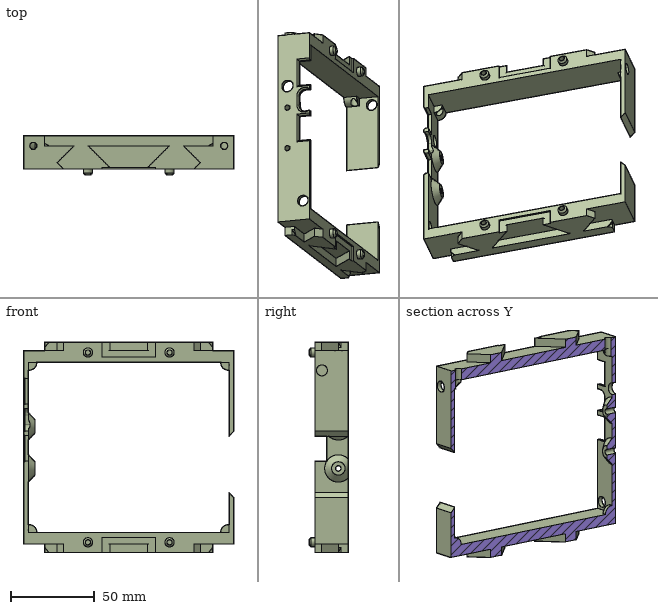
import cadquery as cq
side = 126.0
half = side / 2
depth = 20.0
wall = 2.9
rail = 7.0
pad_height = 5.0
rail_outer = half - pad_height
rail_inner = rail_outer - rail
wall_inner = half - wall

pad_half = 50.4
strip_depth = 6.0
recess_y = depth - strip_depth
recess_front_half = 11.3
panel_half = 16.0
panel_depth = 1.0
panel_height = 9.0
island_half = 32.8
island_barb = 10.1
chip_x = 2.6
chip_y = 1.5
chip_z = 3.2

gap_top = 6.7
gap_bottom = -27.0
gap_bevel = 3.2

pin_x = 24.5
pin_z = 56.8
pin_diameter = 5.5
pin_length = 3.5
pin_chamfer = 1.2
pin_bore = 3.0

boss_diameter = 9.5
boss_offset = 0.4
boss_length = 8.2
screw_x = 57.2
screw_diameter = 4.2

cone_z = 12.6
hole_y = recess_y
cone_base_radius = 8.2
cone_tip_radius = 4.0
cone_height = 4.0
cone_bore = 3.2
large_hole_diameter = 7.0
large_hole_z = 26.1
corner_hole_diameter = 6.5
corner_hole_y = 4.2
corner_hole_z = 46.1

cutout_z = 16.5
cutout_pitch = 17.1
cutout_height = 15.2
cutout_depth = 6.9
cutout_bevel = 1.0
slot_radius = 3.8
slot_half_height = 6.7

overlap = 1.3


def box(x0, x1, y0, y1, z0, z1):
    return cq.Workplane("XY").box(x1 - x0, y1 - y0, z1 - z0, centered=False).translate((x0, y0, z0))


def cylinder(diameter, start, direction, length):
    solid = cq.Solid.makeCylinder(diameter / 2, length, cq.Vector(*start), cq.Vector(*direction))
    return cq.Workplane(solid)


def both_sides(body):
    return body.union(body.mirror("YZ"))


def outline_prism(points, z0, z1):
    return cq.Workplane("XY").polyline(points).close().extrude(z1 - z0).translate((0, 0, z0))


def frame():
    outer = box(-half, half, 0, depth, -rail_outer, rail_outer)
    opening = box(-wall_inner, wall_inner, -overlap, depth + overlap, -rail_inner, rail_inner)
    gap = (
        cq.Workplane("XZ")
        .polyline([
            (wall_inner, gap_top),
            (half, gap_top + gap_bevel),
            (half, gap_bottom - gap_bevel),
            (wall_inner, gap_bottom),
        ])
        .close()
        .extrude(-depth)
    )
    return outer.cut(opening).cut(gap)


def strip_chip():
    """Wedge at the left strip end: a corner prism with a sloping floor."""
    corner = outline_prism(
        [
            (-pad_half, recess_y),
            (-pad_half + chip_x, recess_y),
            (-pad_half, recess_y + chip_y),
        ],
        half - chip_z,
        half,
    )
    slope = (
        cq.Workplane("XZ")
        .polyline([
            (-pad_half, half),
            (-pad_half + chip_x, half),
            (-pad_half, half - chip_z),
        ])
        .close()
        .extrude(-depth)
    )
    return corner.intersect(slope)


def top_pad():
    strip = box(-pad_half, pad_half, recess_y, depth, rail_outer, half)
    barb_tip = island_half + island_barb
    barb_y = recess_y - island_barb
    island = outline_prism(
        [
            (-recess_front_half - recess_y + panel_depth, recess_y),
            (-recess_front_half, panel_depth),
            (-recess_front_half, 0),
            (-barb_tip + barb_y, 0),
            (-barb_tip, barb_y),
            (-island_half, recess_y),
        ],
        rail_outer,
        half,
    )
    return strip.union(both_sides(island)).cut(both_sides(strip_chip()))


def front_panel():
    return box(-panel_half, panel_half, 0, panel_depth, half - panel_height, half)


def pin():
    length = pin_length + overlap
    body = cylinder(pin_diameter, (pin_x, overlap, pin_z), (0, -1, 0), length)
    return body.faces("<Y").chamfer(pin_chamfer)


def pin_hole():
    return cylinder(pin_bore, (pin_x, 0, pin_z), (0, -1, 0), pin_length)


def corner_boss():
    """Part of a cylinder along Y that stands in the corner below the rail."""
    axis_x = wall_inner - boss_offset
    round_bar = cylinder(boss_diameter, (axis_x, depth, rail_inner), (0, -1, 0), boss_length)
    return round_bar.intersect(box(0, wall_inner, 0, depth, 0, rail_inner))


def wall_cone(z):
    return cq.Workplane(cq.Solid.makeCone(
        cone_base_radius, cone_tip_radius, cone_height,
        cq.Vector(-wall_inner, hole_y, z), cq.Vector(1, 0, 0),
    ))


def square_cutout(z):
    """Rectangular notch in the left wall, bevelled along its outer rim."""
    half_height = cutout_height / 2
    notch = box(
        -half, -wall_inner + cone_height, -overlap, cutout_depth, z - half_height, z + half_height
    )
    rim = (
        cq.Workplane("YZ", origin=(-half, 0, z))
        .rect(2 * (cutout_depth + cutout_bevel), cutout_height + 2 * cutout_bevel)
        .extrude(cutout_bevel, taper=45)
    )
    return notch.union(rim)


def rounded_cutout(z):
    """Notch with rounded inner corners and a bevel that follows a vertical slot."""
    centre_y = cutout_depth - slot_radius
    base = cq.Workplane("YZ", origin=(-half, centre_y, z))
    through = wall + cone_height
    slot = base.slot2D(2 * slot_half_height, 2 * slot_radius, 90).extrude(through)
    rim = base.slot2D(
        2 * (slot_half_height + cutout_bevel), 2 * (slot_radius + cutout_bevel), 90
    ).extrude(cutout_bevel, taper=45)
    mouth = box(
        -half, -half + through, -overlap, centre_y, z - slot_half_height, z + slot_half_height
    )
    return slot.union(rim).union(mouth)


upper = top_pad().union(both_sides(corner_boss()))
result = frame().union(upper).union(upper.mirror("XY"))

panel = front_panel()
result = result.cut(panel).cut(panel.mirror("XY"))

pins = both_sides(pin())
pin_holes = both_sides(pin_hole())
result = result.union(pins).union(pins.mirror("XY"))
result = result.cut(pin_holes).cut(pin_holes.mirror("XY"))

frame_envelope = box(-half, half, 0, depth, -half, half)
for z in (cone_z, -cone_z):
    result = result.union(wall_cone(z).intersect(frame_envelope))
for z in (cone_z, -cone_z):
    result = result.cut(cylinder(cone_bore, (-half, hole_y, z), (1, 0, 0), wall + cone_height))

result = result.cut(cylinder(large_hole_diameter, (-half, hole_y, large_hole_z), (1, 0, 0), wall))
result = result.cut(cylinder(corner_hole_diameter, (-half, corner_hole_y, -corner_hole_z), (1, 0, 0), wall))
result = result.cut(cylinder(corner_hole_diameter, (half, corner_hole_y, corner_hole_z), (-1, 0, 0), wall))

for x in (-screw_x, screw_x):
    result = result.cut(cylinder(screw_diameter, (x, hole_y, rail_outer), (0, 0, -1), rail + boss_diameter / 2))

for z in (cutout_z - cutout_pitch, cutout_z + cutout_pitch):
    result = result.cut(square_cutout(z))
result = result.cut(rounded_cutout(cutout_z))